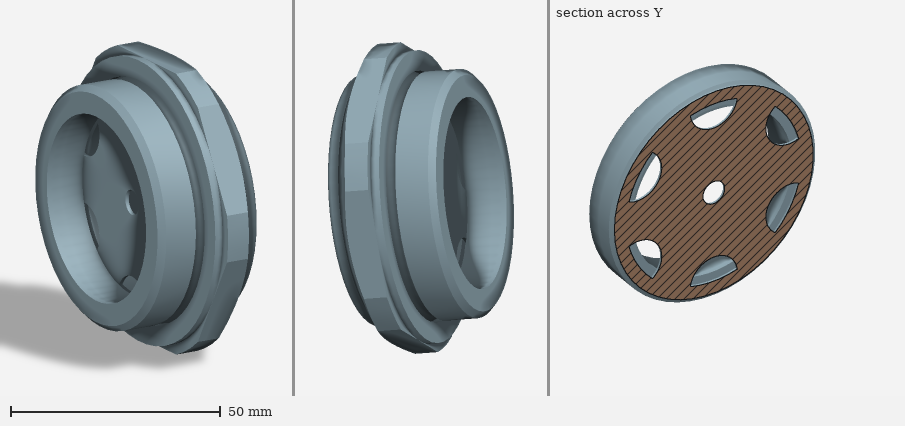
import cadquery as cq
import math

LENGTH = 26.9

RING_FRONT = 12.0
RING_THICKNESS = 2.0
RING_BORE_RADIUS = 30.1

HEX_FRONT = RING_FRONT + RING_THICKNESS
CORNER_RADIUS = 37.5
ACROSS_FLATS = 70.0
HEX_TURN = 30.0
RING_RADIUS = ACROSS_FLATS / 2

CONE_ANGLE = 60.0
CAP_FRONT = 23.9
CAP_BASE_RADIUS = 30.4
CAP_RIM_RADIUS = 30.15
CAP_ROUND = 1.2
HEX_BACK = CAP_FRONT - (CORNER_RADIUS - CAP_BASE_RADIUS) / math.tan(math.radians(CONE_ANGLE))

SPIGOT_RADIUS = 29.8
SPIGOT_CHAMFER = 1.5
GROOVE_ROUND = 1.5
GROOVE_CENTRE = 11.5
FRONT_FLANK_ANGLE = math.radians(60)
REAR_FLANK_ANGLE = math.asin(GROOVE_ROUND / (HEX_FRONT - GROOVE_CENTRE))
GROOVE_FRONT = GROOVE_CENTRE - GROOVE_ROUND / math.sin(FRONT_FLANK_ANGLE)

BORE_RADIUS = 22.95
BORE_DEPTH = 9.9
WEB_THICKNESS = 1.0
CHAMBER_DEPTH = 6.0

CENTRE_HOLE_RADIUS = 3.1
SCALLOP_COUNT = 6
SCALLOP_RADIUS = 6.75
SCALLOP_PITCH_RADIUS = 25.2
SCALLOP_REACH = SCALLOP_PITCH_RADIUS


def cylinder(radius, start, length):
    """Cylinder on the Y axis from `start` towards +Y."""
    return cq.Workplane("XZ", origin=(0, start, 0)).circle(radius).extrude(-length)


def groove_point(angle):
    """Point (radius, Y) on the groove round, `angle` past its deepest point towards +Y."""
    radius = SPIGOT_RADIUS - GROOVE_ROUND * math.cos(angle)
    return radius, GROOVE_CENTRE + GROOVE_ROUND * math.sin(angle)


def make_turned_blank():
    """Solid of revolution carrying every outer diameter of the plug."""
    return (
        cq.Workplane("XY")
        .lineTo(SPIGOT_RADIUS - SPIGOT_CHAMFER, 0)
        .lineTo(SPIGOT_RADIUS, SPIGOT_CHAMFER)
        .lineTo(SPIGOT_RADIUS, GROOVE_FRONT)
        .lineTo(*groove_point(-FRONT_FLANK_ANGLE))
        .threePointArc(groove_point(0), groove_point(REAR_FLANK_ANGLE))
        .lineTo(SPIGOT_RADIUS, HEX_FRONT)
        .lineTo(CORNER_RADIUS, HEX_FRONT)
        .lineTo(CORNER_RADIUS, HEX_BACK)
        .lineTo(CAP_BASE_RADIUS, CAP_FRONT)
        .lineTo(CAP_RIM_RADIUS, LENGTH - CAP_ROUND)
        .radiusArc((CAP_RIM_RADIUS - CAP_ROUND, LENGTH), -CAP_ROUND)
        .lineTo(0, LENGTH)
        .close()
        .revolve(360, (0, 0, 0), (0, 1, 0))
    )


def make_hexagon():
    """Hexagonal bar that trims the flats; it runs the full length of the plug."""
    return (
        cq.Workplane("XZ")
        .polygon(6, ACROSS_FLATS, circumscribed=True)
        .extrude(-LENGTH)
        .rotate((0, 0, 0), (0, 1, 0), HEX_TURN)
    )


def make_scallops():
    """Circular cutters around the web, limited to the depth of the undercut."""
    cutters = (
        cq.Workplane("XZ", origin=(0, BORE_DEPTH, 0))
        .polarArray(SCALLOP_PITCH_RADIUS, 90, 360, SCALLOP_COUNT)
        .circle(SCALLOP_RADIUS)
        .extrude(-WEB_THICKNESS)
    )
    return cutters.intersect(cylinder(SCALLOP_REACH, BORE_DEPTH, WEB_THICKNESS))


def make_plug():
    return (
        make_turned_blank()
        .intersect(make_hexagon())
        .cut(cylinder(BORE_RADIUS, 0, BORE_DEPTH))
        .cut(cylinder(BORE_RADIUS, BORE_DEPTH + WEB_THICKNESS, CHAMBER_DEPTH))
        .cut(cylinder(CENTRE_HOLE_RADIUS, BORE_DEPTH, WEB_THICKNESS))
        .cut(make_scallops())
    )


def make_sealing_ring():
    ring = cylinder(RING_RADIUS, RING_FRONT, RING_THICKNESS)
    return ring.cut(cylinder(RING_BORE_RADIUS, RING_FRONT, RING_THICKNESS))


plug = make_plug()
sealing_ring = make_sealing_ring()

result = cq.Compound.makeCompound([*plug.solids().vals(), *sealing_ring.solids().vals()])